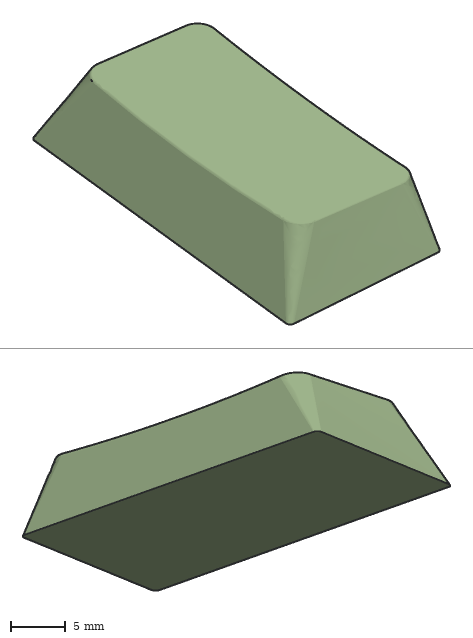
import cadquery as cq

BASE_LENGTH = 37.15
BASE_WIDTH = 18.1
BASE_CORNER_RADIUS = 0.52

TOP_LENGTH = 30.9
TOP_WIDTH = 14.35
TOP_CORNER_RADIUS = 2.08
TOP_CENTRE_Y = 1.65
TOP_CENTRE_Z = 7.58
TOP_SLOPE = 3.5

DISH_DEPTH = 0.55
DISH_OVERREACH = 0.07
DISH_CHORD = TOP_LENGTH + 2 * DISH_OVERREACH
DISH_RADIUS = (DISH_CHORD**2 / 4 + DISH_DEPTH**2) / (2 * DISH_DEPTH)

RIM_RADIUS = 0.5

TOP_PLANE = cq.Plane(origin=(0, TOP_CENTRE_Y, TOP_CENTRE_Z)).rotated((-TOP_SLOPE, 0, 0))


def rounded_outline(length, width, corner_radius):
    """Rectangle with rounded corners, centred on the origin."""
    return cq.Sketch().rect(length, width).vertices().fillet(corner_radius)


def sloped_body():
    """Straight-sided body tapering from the base outline to the sloping top."""
    base = rounded_outline(BASE_LENGTH, BASE_WIDTH, BASE_CORNER_RADIUS)
    top = rounded_outline(TOP_LENGTH, TOP_WIDTH, TOP_CORNER_RADIUS)
    return cq.Workplane("XY").placeSketch(base, top.moved(TOP_PLANE.location)).loft(ruled=True)


def dish_cutter():
    """Cylinder running front to back, overshooting both long edges of the top."""
    axis_plane = cq.Plane(
        origin=TOP_PLANE.toWorldCoords((0, -TOP_WIDTH, DISH_RADIUS - DISH_DEPTH)),
        xDir=(1, 0, 0),
        normal=TOP_PLANE.yDir,
    )
    return cq.Workplane(axis_plane).circle(DISH_RADIUS).extrude(2 * TOP_WIDTH)


dished_body = sloped_body().cut(dish_cutter())
result = dished_body.faces("%CYLINDER").edges().fillet(RIM_RADIUS)